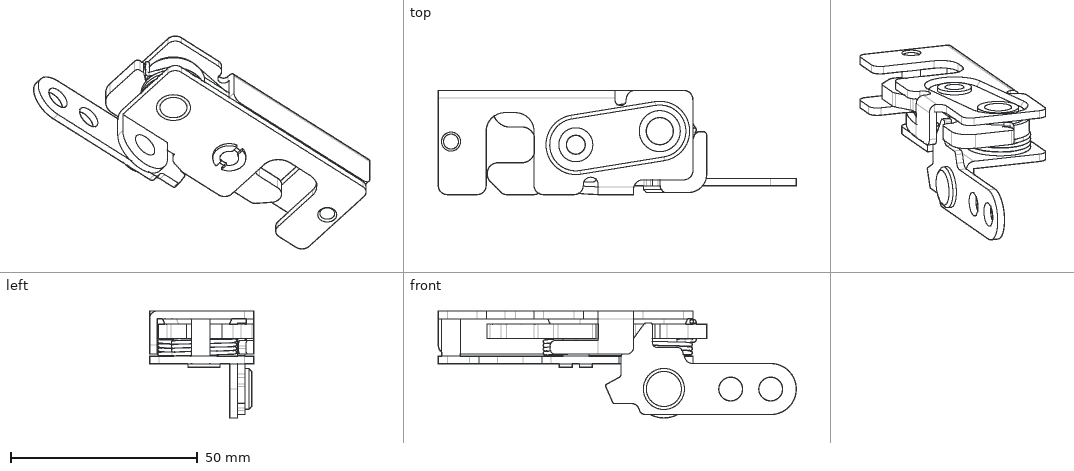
import cadquery as cq
import math


body_length = 68.3
body_width = 28.0
sheet = 2.1
bottom_plate_top = -12.1
bottom_plate_under = bottom_plate_top - sheet
moving_top = -3.5
moving_thickness = 3.9
moving_under = moving_top - moving_thickness
outer_corner = 2.5

pin_x, pin_y = 3.45, -13.75
pin_diameter = 5.0
pin_end_diameter = 4.0
pin_sink_diameter = 5.1
pin_sink_depth = 0.5

rotor_x, rotor_y = 36.9, -14.6
pawl_x, pawl_y = 59.4, -10.95
rotor_shaft, rotor_bore, rotor_flange = 7.0, 5.0, 9.1
pawl_shaft, pawl_bore, pawl_flange = 9.1, 7.2, 11.0
flange_thickness = 0.9

axis_angle = math.atan2(pawl_y - rotor_y, pawl_x - rotor_x)
axis_distance = math.hypot(pawl_x - rotor_x, pawl_y - rotor_y)

selector_reach = 50
selector_width = 0.05

slot_left, slot_right, slot_back, slot_corner = 12.9, 25.7, -6.0, 5.0
flange_end = 47.4
wall_bottom = -11.6
back_relief_width, back_relief_depth = 3.0, 4.1
tab_left, tab_right = 42.9, 52.4
tab_corner = 2.0
front_relief_width, front_relief_depth = 4.0, 4.7
front_step = -24.0
relief_flare = 2.5
leg_top = -7.9
leg_end = 30.0
leg_inset = 2.2
leg_corner = 1.5
recess_depth = 1.4
recess_radius = 8.0
recess_floor_radius = 7.0
bulge_radius = 7.5
bulge_floor_radius = 6.9

mouth_left, mouth_right, mouth_back, mouth_corner = 10.9, 27.8, -6.0, 5.0
front_lip_end = 48.5
right_lip_front = -27.0
hanger_outer = -23.6
hanger_radius = 7.8

lever_thickness = 2.0
arm_top, arm_bottom = -14.05, -27.8
arm_radius = (arm_top - arm_bottom) / 2
arm_z = (arm_top + arm_bottom) / 2
lever_end = 96.0
lever_hole = 6.3
lever_hole_xs = (78.4, lever_end - arm_radius)
rivet_x, rivet_z = body_length - hanger_radius, -20.9
rivet_head, rivet_head_height, rivet_chamfer = 11.0, 1.8, 0.8
rivet_shank = 6.7

wire = 1.0
coil_radius = 8.25
coil_clearance = 0.05
coil_top = moving_under - coil_clearance - wire / 2
coil_bottom = bottom_plate_top + coil_clearance + wire / 2
rotor_leg_length = 8.0
hook_angle = math.radians(30)
hook_reach = 4.4
hook_top = -2.8
hook_return = (-0.37, -0.93)
hook_tail = 1.6
hook_bend = 0.6

head_diameter = 8.9
head_height = 0.9
head_slot = 1.9


def cylinder(x, y, bottom, top, diameter):
    return cq.Workplane("XY", origin=(x, y, bottom)).circle(diameter / 2).extrude(top - bottom)


def plate(points, top, thickness):
    return cq.Workplane("XY", origin=(0, 0, top)).polyline(points).close().extrude(-thickness)


def edge_box(place, axis):
    """Selector for edges along one axis that run through a place."""
    reach = [selector_reach if axis == name else selector_width for name in "XYZ"]
    low = [value - span for value, span in zip(place, reach)]
    high = [value + span for value, span in zip(place, reach)]
    return cq.selectors.BoxSelector(low, high, True)


def round_at(body, places, radius):
    """Round the upright edges at the given X, Y places."""
    for x, y in places:
        body = body.edges("|Z").edges(edge_box((x, y, 0), "Z")).fillet(radius)
    return body


def open_mouth(left, right, back, corner, top):
    """Cutter for a slot that opens at the front edge."""
    depth = body_width + back
    cutter = (
        cq.Workplane("XY", origin=((left + right) / 2, back - depth / 2, top))
        .rect(right - left, depth)
        .extrude(-sheet)
    )
    return cutter.edges("|Z and >Y").fillet(corner)


def stadium(radius_top, radius_bottom, top, depth):
    """Tapered block round both shaft axes, widest at its top."""
    taper = math.degrees(math.atan2(radius_top - radius_bottom, depth))
    middle = ((rotor_x + pawl_x) / 2, (rotor_y + pawl_y) / 2, top)
    return (
        cq.Workplane("XY", origin=middle)
        .slot2D(axis_distance + 2 * radius_top, 2 * radius_top, math.degrees(axis_angle))
        .extrude(-depth, taper=taper)
    )


def bend_relief(wall_x, edge_y, inward, away, width, depth):
    """Round-ended cutter beside a bent wall, flared where it meets the sheet edge."""
    far_x = wall_x + away * width
    half = width / 2
    straight = edge_y + inward * (depth - half)
    flare = min(relief_flare, depth - half)
    bulge = flare * (1 - math.sqrt(0.5))
    flare_middle = (far_x + away * bulge, edge_y + inward * bulge)
    return (
        cq.Workplane("XY")
        .moveTo(wall_x, edge_y)
        .lineTo(wall_x, straight)
        .threePointArc((wall_x + away * half, edge_y + inward * depth), (far_x, straight))
        .lineTo(far_x, edge_y + inward * flare)
        .threePointArc(flare_middle, (far_x + away * flare, edge_y))
        .close()
        .extrude(-sheet)
    )


def outer_bend(left, length, face_y, inward, top):
    """Cutter that rounds the outside of a bend between a sheet and its wall."""
    centre_y = face_y + inward * sheet
    centre_z = top - sheet
    corner = cq.Workplane("YZ", origin=(left, (face_y + centre_y) / 2, (top + centre_z) / 2))
    round_face = cq.Workplane("YZ", origin=(left, centre_y, centre_z))
    return corner.rect(sheet, sheet).extrude(length).cut(round_face.circle(sheet).extrude(length))


def pin_seat(face_z, inward):
    """Countersunk hole for one end of the spacer pin."""
    hole = cylinder(pin_x, pin_y, face_z, face_z + inward * sheet, pin_end_diameter)
    sink = cq.Solid.makeCone(
        pin_sink_diameter / 2,
        pin_end_diameter / 2,
        pin_sink_depth,
        cq.Vector(pin_x, pin_y, face_z),
        cq.Vector(0, 0, inward),
    )
    return hole.union(cq.Workplane(sink))


def make_housing():
    roof = plate(
        [
            (0, 0),
            (body_length, 0),
            (body_length, front_step),
            (tab_right, front_step),
            (tab_right, -body_width),
            (0, -body_width),
        ],
        0,
        sheet,
    )
    mouth = open_mouth(slot_left, slot_right, slot_back, slot_corner, 0)
    roof = roof.cut(mouth)
    front_corners = [(0, -body_width), (slot_left, -body_width), (slot_right, -body_width)]
    roof = round_at(roof, front_corners, outer_corner)
    roof = round_at(roof, [(body_length, 0), (body_length, front_step)], outer_corner)
    roof = round_at(roof, [(tab_right, front_step)], outer_corner)

    back_wall = (
        cq.Workplane("XY")
        .box(flange_end, sheet, -wall_bottom, centered=False)
        .translate((0, -sheet, wall_bottom))
        .edges("|Y and <Z")
        .fillet(outer_corner)
    )
    tab = (
        cq.Workplane("XY")
        .box(tab_right - tab_left, sheet, -wall_bottom, centered=False)
        .translate((tab_left, -body_width, wall_bottom))
        .edges("|Y and <Z and >X")
        .fillet(tab_corner)
    )
    roof = roof.cut(bend_relief(flange_end, 0, -1, 1, back_relief_width, back_relief_depth))
    roof = roof.cut(
        bend_relief(tab_left, -body_width, 1, -1, front_relief_width, front_relief_depth)
    )
    body = roof.union(back_wall).union(tab)

    body = body.cut(outer_bend(0, flange_end, 0, -1, 0))
    body = body.cut(outer_bend(tab_left, tab_right - tab_left, -body_width, 1, 0))

    run = tab_left - leg_end
    curve = (run**2 + leg_inset**2) / (2 * leg_inset)
    sweep_angle = math.asin(run / curve)
    inner = curve - sheet
    centre_y = curve - body_width

    def on_curve(radius, angle):
        return (tab_left - radius * math.sin(angle), centre_y - radius * math.cos(angle))

    leg = (
        cq.Workplane("XY", origin=(0, 0, leg_top))
        .moveTo(tab_left, -body_width)
        .threePointArc(on_curve(curve, sweep_angle / 2), on_curve(curve, sweep_angle))
        .lineTo(*on_curve(inner, sweep_angle))
        .threePointArc(on_curve(inner, sweep_angle / 2), on_curve(inner, 0))
        .close()
        .extrude(wall_bottom - leg_top)
    )
    leg = leg.faces("<X").edges("#Z").edges(">Z or <Z").fillet(leg_corner)
    body = body.union(leg)

    body = body.union(stadium(bulge_radius, bulge_floor_radius, -sheet, recess_depth))
    body = body.cut(stadium(recess_radius, recess_floor_radius, 0, recess_depth))
    floor_under = -sheet - recess_depth
    body = body.cut(cylinder(rotor_x, rotor_y, floor_under, 0, rotor_shaft))
    body = body.cut(cylinder(pawl_x, pawl_y, floor_under, 0, pawl_shaft))
    return body.cut(pin_seat(0, -1))


def make_bottom_plate():
    mouth_middle = (mouth_left + mouth_right) / 2
    base = plate(
        [
            (0, 0),
            (body_length, 0),
            (body_length, hanger_outer),
            (front_lip_end, hanger_outer),
            (front_lip_end, right_lip_front),
            (mouth_middle, right_lip_front),
            (mouth_middle, -body_width),
            (0, -body_width),
        ],
        bottom_plate_top,
        sheet,
    )
    base = base.cut(open_mouth(mouth_left, mouth_right, mouth_back, mouth_corner, bottom_plate_top))
    corners = [
        (0, 0),
        (body_length, 0),
        (0, -body_width),
        (mouth_left, -body_width),
        (mouth_right, right_lip_front),
    ]
    base = round_at(base, corners, outer_corner)

    hanger = (
        cq.Workplane("XZ", origin=(rivet_x, hanger_outer, 0))
        .moveTo(-hanger_radius, bottom_plate_top)
        .lineTo(-hanger_radius, rivet_z)
        .threePointArc((0, rivet_z - hanger_radius), (hanger_radius, rivet_z))
        .lineTo(hanger_radius, bottom_plate_top)
        .close()
        .extrude(-sheet)
    )
    body = base.union(hanger)
    body = body.cut(
        outer_bend(rivet_x - hanger_radius, 2 * hanger_radius, hanger_outer, 1, bottom_plate_top)
    )
    body = body.cut(cylinder(rotor_x, rotor_y, bottom_plate_under, bottom_plate_top, rotor_shaft))
    body = body.cut(cylinder(pawl_x, pawl_y, bottom_plate_under, bottom_plate_top, pawl_shaft))
    body = body.cut(rivet_shank_body())
    return body.cut(pin_seat(bottom_plate_under, 1))


def make_spacer_pin():
    shaft = cylinder(pin_x, pin_y, bottom_plate_top, -sheet, pin_diameter)
    ends = cylinder(
        pin_x, pin_y, bottom_plate_under + pin_sink_depth, -pin_sink_depth, pin_end_diameter
    )
    return shaft.union(ends)


def make_bushing(x, y, shaft, bore, flange):
    flange_top = flange_thickness - recess_depth
    body = cylinder(x, y, bottom_plate_under, -recess_depth, shaft)
    body = body.union(cylinder(x, y, -recess_depth, flange_top, flange))
    return body.cut(cylinder(x, y, bottom_plate_under, flange_top, bore))


def make_rotor_bushing():
    body = make_bushing(rotor_x, rotor_y, rotor_shaft, rotor_bore, rotor_flange)
    head_under = bottom_plate_under - head_height
    head = cylinder(rotor_x, rotor_y, head_under, bottom_plate_under, head_diameter)
    head = head.cut(cylinder(rotor_x, rotor_y, head_under, bottom_plate_under, rotor_bore))
    slot = (
        cq.Workplane("XY", origin=(rotor_x, rotor_y, head_under))
        .rect(head_slot, head_diameter)
        .extrude(head_height)
    )
    return body.union(head.cut(slot))


def make_rotor():
    throat_back, throat_front, throat_end = -9.85, -19.4, 25.9
    throat_corner = 3.5
    nose_x, nose_y = 13.1, -23.6
    nose_radius = 2.95
    heel_radius = 2.1
    foot_radius = 2.0
    front_radius = 1.0
    chamfer = body_width + nose_y
    heel_x, step_x, front_y = 26.3, 31.5, -24.6
    right_x = 42.4
    shoulder_x, shoulder_y = 41.9, -9.0
    jaw_x, jaw_back_x, jaw_throat_x = 14.6, 18.0, 18.5
    back_y = -2.4
    body = (
        cq.Workplane("XY", origin=(0, 0, moving_top))
        .moveTo(throat_end, throat_front)
        .lineTo(nose_x, throat_front)
        .lineTo(nose_x, nose_y)
        .lineTo(nose_x + chamfer, -body_width)
        .lineTo(heel_x, -body_width)
        .lineTo(step_x, front_y)
        .lineTo(right_x, front_y)
        .lineTo(shoulder_x, shoulder_y)
        .threePointArc((40.6, -4.4), (rotor_x, back_y))
        .lineTo(jaw_back_x, back_y)
        .threePointArc((15.4, -3.2), (jaw_x, -4.65))
        .lineTo(jaw_x, -5.8)
        .threePointArc((15.9, -8.4), (jaw_throat_x, throat_back))
        .lineTo(throat_end, throat_back)
        .close()
        .extrude(-moving_thickness)
    )
    body = round_at(body, [(throat_end, throat_back), (throat_end, throat_front)], throat_corner)
    body = round_at(body, [(nose_x, throat_front), (nose_x, nose_y)], nose_radius)
    body = round_at(body, [(nose_x + chamfer, -body_width)], foot_radius)
    body = round_at(body, [(heel_x, -body_width), (step_x, front_y)], heel_radius)
    body = round_at(body, [(right_x, front_y)], front_radius)
    return body.cut(cylinder(rotor_x, rotor_y, moving_under, moving_top, rotor_shaft))


def make_pawl():
    arm_right, foot_front, foot_left = 72.0, -27.45, 59.5
    arm_left, arm_front, arm_back = 43.0, -22.8, -4.5
    hook_back = -11.05
    hook_radius, heel_radius, foot_radius = 1.0, 5.0, 1.8
    hub_radius = 8.4
    outline = [
        (69.7, hook_back),
        (arm_right, hook_back),
        (arm_right, foot_front),
        (foot_left, foot_front),
        (foot_left, -24.0),
        (58.1, -21.5),
        (52.9, arm_front),
        (arm_left, arm_front),
        (arm_left, arm_back),
        (pawl_x, arm_back),
        (66.5, -13.8),
    ]
    body = plate(outline, moving_top, moving_thickness)
    body = round_at(body, [(arm_right, hook_back)], hook_radius)
    body = round_at(body, [(arm_right, foot_front)], heel_radius)
    body = round_at(body, [(foot_left, foot_front)], foot_radius)
    body = body.union(cylinder(pawl_x, pawl_y, moving_under, moving_top, 2 * hub_radius))
    return body.cut(cylinder(pawl_x, pawl_y, moving_under, moving_top, pawl_shaft))


def make_lever():
    back_x, finger_right = 49.0, 57.4
    finger_top, shoulder_top, beak_bottom = -3.2, -9.85, -24.85
    end_x = lever_end - arm_radius
    corners = [
        (back_x, -17.5, 1.0),
        (back_x, -12.0, 0),
        (55.4, finger_top, 0.8),
        (finger_right, finger_top, 0.5),
        (finger_right, shoulder_top, 1.5),
        (65.1, shoulder_top, 1.2),
        (66.7, arm_top, 2.0),
        (end_x, arm_top, 0),
        (end_x, arm_bottom, 0),
        (54.4, arm_bottom, 1.8),
        (53.2, beak_bottom, 1.9),
        (46.9, beak_bottom, 0.6),
        (44.7, -19.85, 0.5),
    ]
    outline = [(x, z) for x, z, _ in corners]
    face = cq.Workplane("XZ", origin=(0, hanger_outer, 0))
    body = face.polyline(outline).close().extrude(lever_thickness)
    for x, z, radius in corners:
        if radius:
            body = body.edges("|Y").edges(edge_box((x, hanger_outer, z), "Y")).fillet(radius)
    body = body.union(face.moveTo(end_x, arm_z).circle(arm_radius).extrude(lever_thickness))
    hole_places = [(x, arm_z) for x in lever_hole_xs]
    holes = face.pushPoints(hole_places).circle(lever_hole / 2).extrude(lever_thickness)
    return body.cut(holes).cut(rivet_shank_body())


def rivet_shank_body():
    """Rivet shank through the lever and the hanging tab."""
    back = hanger_outer + sheet
    return (
        cq.Workplane("XZ", origin=(rivet_x, back, rivet_z))
        .circle(rivet_shank / 2)
        .extrude(sheet + lever_thickness)
    )


def make_lever_rivet():
    head = (
        cq.Workplane("XZ", origin=(rivet_x, hanger_outer - lever_thickness, rivet_z))
        .circle(rivet_head / 2)
        .extrude(rivet_head_height)
        .faces("<Y")
        .chamfer(rivet_chamfer)
    )
    return head.union(rivet_shank_body())


def make_spring():
    """One wire: a coil round each shaft, joined behind them, with a leg and a hook at its ends."""
    rise = coil_top - coil_bottom
    full_turn = 2 * math.pi
    join_angle = axis_angle + math.pi / 2

    def coil(x, y, turns, left_handed):
        helix = cq.Wire.makeHelix(rise / turns, rise, coil_radius, lefthand=left_handed)
        helix = helix.rotate(cq.Vector(), cq.Vector(0, 0, 1), math.degrees(join_angle))
        return helix.translate(cq.Vector(x, y, coil_bottom)).Edges()[0]

    rotor_turns = 3.5 - axis_angle / full_turn
    pawl_turns = 3 + (join_angle - hook_angle) / full_turn
    rotor_coil = coil(rotor_x, rotor_y, rotor_turns, False)
    pawl_coil = coil(pawl_x, pawl_y, pawl_turns, True)

    leg_end_point = rotor_coil.endPoint() + cq.Vector(rotor_leg_length, 0, 0)
    hook_start = pawl_coil.endPoint()
    outward = cq.Vector(math.sin(hook_angle), -math.cos(hook_angle), 0)
    upward = cq.Vector(0, 0, 1)
    back_over = cq.Vector(*hook_return, 0).normalized()
    riser = hook_start + outward * hook_reach
    riser_low = riser + upward * hook_bend
    riser_high = cq.Vector(riser.x, riser.y, hook_top - hook_bend)
    first_bend = riser - outward * hook_bend
    second_bend = riser_high + (upward + back_over) * hook_bend
    path = cq.Wire.assembleEdges(
        [
            cq.Edge.makeLine(leg_end_point, rotor_coil.endPoint()),
            rotor_coil,
            cq.Edge.makeLine(rotor_coil.startPoint(), pawl_coil.startPoint()),
            pawl_coil,
            cq.Edge.makeLine(hook_start, first_bend),
            cq.Edge.makeTangentArc(first_bend, outward, riser_low),
            cq.Edge.makeLine(riser_low, riser_high),
            cq.Edge.makeTangentArc(riser_high, upward, second_bend),
            cq.Edge.makeLine(second_bend, second_bend + back_over * hook_tail),
        ]
    )
    section = cq.Plane(leg_end_point, normal=(-1, 0, 0))
    return cq.Workplane(section).circle(wire / 2).sweep(cq.Workplane(path), transition="transformed")


housing = make_housing()
bottom_plate = make_bottom_plate()
spacer_pin = make_spacer_pin()
rotor_bushing = make_rotor_bushing()
pawl_bushing = make_bushing(pawl_x, pawl_y, pawl_shaft, pawl_bore, pawl_flange)
rotor = make_rotor()
pawl = make_pawl()
lever = make_lever()
lever_rivet = make_lever_rivet()
spring = make_spring()
bodies = [
    housing,
    bottom_plate,
    spacer_pin,
    rotor_bushing,
    pawl_bushing,
    rotor,
    pawl,
    lever,
    lever_rivet,
    spring,
]
result = cq.Compound.makeCompound([body.solids().val() for body in bodies])